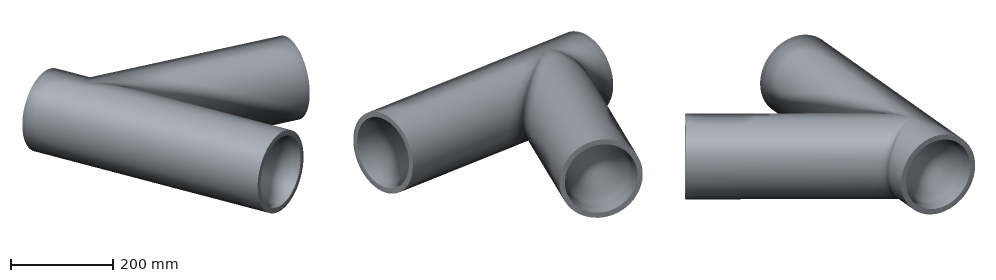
import cadquery as cq
import math

outer_diameter = 168.275
bore_diameter = 146.33
run_length = 546.1
branch_offset = 101.6
branch_length = 444.5
branch_angle = 60.0

run_start = (-branch_offset, 0, 0)
run_direction = (1, 0, 0)
branch_start = (0, 0, 0)
branch_direction = (
    math.cos(math.radians(branch_angle)),
    math.sin(math.radians(branch_angle)),
    0,
)


def rod(diameter, start, direction, length):
    """Solid cylinder along the given axis."""
    plane = cq.Plane(origin=start, xDir=(0, 0, 1), normal=direction)
    return cq.Workplane(plane).circle(diameter / 2).extrude(length)


def joined_rods(diameter):
    """Run and branch cylinders of one diameter, fused together."""
    run = rod(diameter, run_start, run_direction, run_length)
    branch = rod(diameter, branch_start, branch_direction, branch_length)
    return run.union(branch)


result = joined_rods(outer_diameter).cut(joined_rods(bore_diameter))